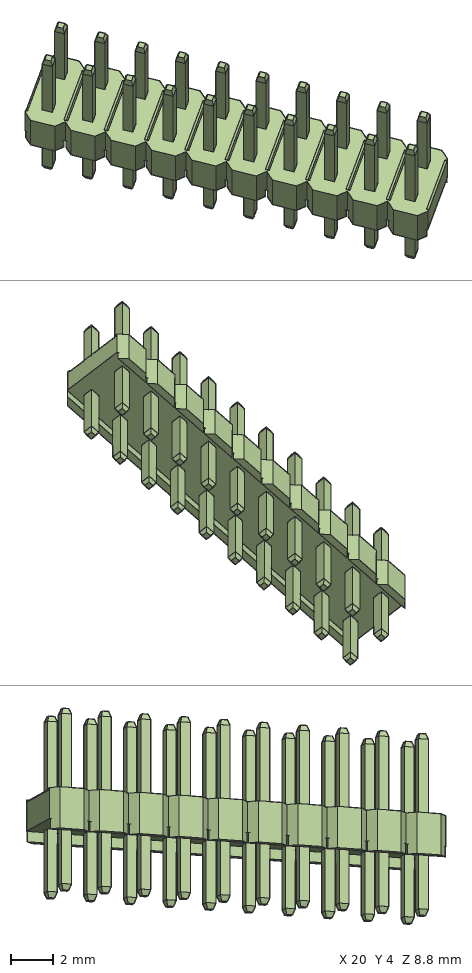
import cadquery as cq

pitch = 2.0
columns = 10
rows = 2

body_height = 2.0
corner_cut = 0.4
channel_depth = 0.5
wall_thickness = 0.35
groove_length = 3.0
groove_size = 0.1

pin_width = 0.5
pin_above = 4.0
pin_below = 2.8
tip_length = 0.28
tip_inset = 0.1

body_length = columns * pitch
body_width = rows * pitch
body_top = body_height / 2
body_bottom = -body_height / 2


def centres(count):
    """Positions of count items at one pitch, centred on the origin."""
    return [(i - (count - 1) / 2) * pitch for i in range(count)]


def body_cell(x):
    """One octagonal section of the insulator, holding one column of pins."""
    half_x = pitch / 2
    half_y = body_width / 2
    flat_x = half_x - corner_cut
    flat_y = half_y - corner_cut
    outline = [
        (flat_x, -half_y),
        (half_x, -flat_y),
        (half_x, flat_y),
        (flat_x, half_y),
        (-flat_x, half_y),
        (-half_x, flat_y),
        (-half_x, -flat_y),
        (-flat_x, -half_y),
    ]
    return (
        cq.Workplane("XY", origin=(x, 0, body_bottom))
        .polyline(outline)
        .close()
        .extrude(body_height)
    )


def bottom_channel():
    """Channel along the whole underside, leaving a wall on each side."""
    return cq.Workplane("XY", origin=(0, 0, body_bottom)).box(
        body_length,
        body_width - 2 * wall_thickness,
        channel_depth,
        centered=(True, True, False),
    )


def top_groove(x):
    """V groove across the top face at a cell boundary."""
    return (
        cq.Workplane("XZ", origin=(x, groove_length / 2, body_top))
        .polyline([(-groove_size, 0), (groove_size, 0), (0, -groove_size)])
        .close()
        .extrude(groove_length)
    )


def pin(x, y):
    """Square pin with a tapered tip at both ends."""
    top_shoulder = body_top + pin_above - tip_length
    bottom_shoulder = body_bottom - pin_below + tip_length
    tip_width = pin_width - 2 * tip_inset
    shank = (
        cq.Workplane("XY", origin=(x, y, bottom_shoulder))
        .rect(pin_width, pin_width)
        .extrude(top_shoulder - bottom_shoulder)
    )
    for shoulder, direction in ((top_shoulder, 1), (bottom_shoulder, -1)):
        tip = (
            cq.Workplane("XY", origin=(x, y, shoulder))
            .rect(pin_width, pin_width)
            .workplane(offset=direction * tip_length)
            .rect(tip_width, tip_width)
            .loft()
        )
        shank = shank.union(tip)
    return shank


column_centres = centres(columns)

result = body_cell(column_centres[0])
for x in column_centres[1:]:
    result = result.union(body_cell(x))

result = result.cut(bottom_channel())

for x in centres(columns + 1):
    result = result.cut(top_groove(x))

for x in column_centres:
    for y in centres(rows):
        result = result.union(pin(x, y))